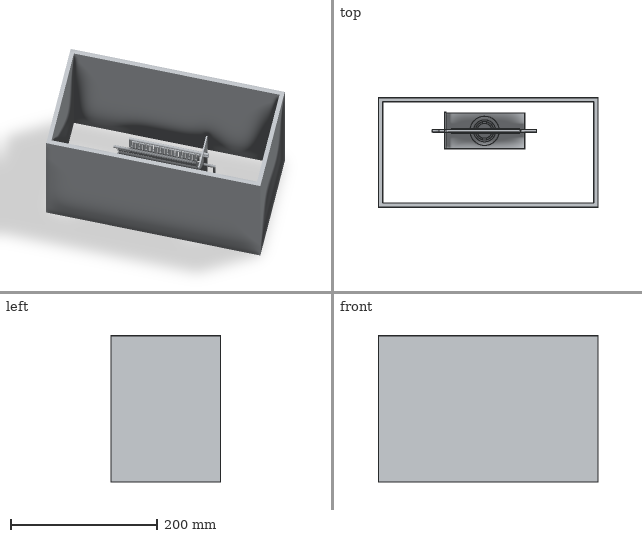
import cadquery as cq

BOX_X, BOX_Y, BOX_Z = 300.0, 150.0, 200.0
BOX_WALL = 6.0

SHEET_Y = 30.0
SHEET_WIDTH = 50.0
SHEET_THICKNESS = 2.0
SHEET_LEFT = -60.0
SHEET_RIGHT = SHEET_LEFT + SHEET_THICKNESS
SHEET_HEIGHT = 180.0
BASE_RIGHT = 50.0
BASE_WIDTH = 49.0
BASE_THICKNESS = 2.0

DRAIN_X = (SHEET_LEFT + BASE_RIGHT) / 2
FLANGE_DIAMETER = 39.93
FLANGE_HEIGHT = 2.0
COLLAR_DIAMETER = 30.07
COLLAR_HEIGHT = 5.0
GROOVE_OUTER_DIAMETER = 25.06
GROOVE_INNER_DIAMETER = 20.4
GROOVE_DEPTH = 3.0
LUG_WIDTH = 5.2
LUG_INNER_REACH = 9.9
LUG_RISE = 1.0

TUBE_Y = 29.5
TUBE_RADIUS = 2.0
RUN_PITCH = 5.5

STUB_LEFT = -67.3
COIL_RIGHT = 42.5
COIL_FEED_Z = 174.0
COIL_TOP_Z = COIL_FEED_Z - RUN_PITCH
COIL_BOTTOM_Z = 154.0
LEG_PITCH = 5.0
LEG_PAIRS = 10

FINNED_Z = 143.2
FINNED_LEFT = -75.0
FINNED_RIGHT = 66.0
FINNED_BOTTOM = 100.0
FIN_RADIUS = 3.5
FIN_THICKNESS = 0.5
FIN_PITCH = 1.0
FIN_START = -50.0
FIN_COUNT = 93

STRAIGHT_Z = FINNED_Z - FIN_RADIUS - TUBE_RADIUS
STRAIGHT_RIGHT = 60.0

LEVEL_TOP_Z = 129.0
LEVEL_RUNS = 4
LEVEL_LEFT = -50.0
LEVEL_RIGHT = 59.0
OUTLET_X = 42.5
OUTLET_BOTTOM = 90.0


def bent_tube(points):
    """Tube along a chain of (x, z) points with mitred corners; the first leg runs along X."""
    path = cq.Workplane("XZ", origin=(0, TUBE_Y, 0)).polyline(points)
    start_x, start_z = points[0]
    profile = cq.Workplane("YZ", origin=(start_x, TUBE_Y, start_z)).circle(TUBE_RADIUS)
    return profile.sweep(path, transition="right")


def make_enclosure():
    outer = cq.Workplane("XY").box(BOX_X, BOX_Y, BOX_Z, centered=(True, True, False))
    opening = cq.Workplane("XY").rect(BOX_X - 2 * BOX_WALL, BOX_Y - 2 * BOX_WALL).extrude(BOX_Z)
    return outer.cut(opening)


def make_sheet():
    return cq.Workplane("XY", origin=(SHEET_LEFT, SHEET_Y, 0)).box(
        SHEET_THICKNESS, SHEET_WIDTH, SHEET_HEIGHT, centered=(False, True, False)
    )


def make_base():
    return cq.Workplane("XY", origin=(SHEET_RIGHT, TUBE_Y, 0)).box(
        BASE_RIGHT - SHEET_RIGHT, BASE_WIDTH, BASE_THICKNESS, centered=(False, True, False)
    )


def make_drain():
    seat = cq.Workplane("XY", origin=(DRAIN_X, TUBE_Y, BASE_THICKNESS))
    body = seat.circle(FLANGE_DIAMETER / 2).extrude(FLANGE_HEIGHT)
    body = body.union(seat.circle(COLLAR_DIAMETER / 2).extrude(COLLAR_HEIGHT))
    groove = (
        seat.workplane(offset=COLLAR_HEIGHT)
        .circle(GROOVE_OUTER_DIAMETER / 2)
        .circle(GROOVE_INNER_DIAMETER / 2)
        .extrude(-GROOVE_DEPTH)
    )
    lug_reach = GROOVE_OUTER_DIAMETER / 2 - LUG_INNER_REACH
    lugs = (
        seat.pushPoints([(0, side * (LUG_INNER_REACH + lug_reach / 2)) for side in (-1, 1)])
        .rect(LUG_WIDTH, lug_reach)
        .extrude(COLLAR_HEIGHT + LUG_RISE)
    )
    return body.cut(groove).union(lugs)


def make_upright_coil():
    points = [(STUB_LEFT, COIL_FEED_Z), (COIL_RIGHT, COIL_FEED_Z), (COIL_RIGHT, COIL_BOTTOM_Z)]
    x = COIL_RIGHT
    for _ in range(LEG_PAIRS - 1):
        x -= LEG_PITCH
        points += [(x, COIL_BOTTOM_Z), (x, COIL_TOP_Z)]
        x -= LEG_PITCH
        points += [(x, COIL_TOP_Z), (x, COIL_BOTTOM_Z)]
    x -= LEG_PITCH
    points += [(x, COIL_BOTTOM_Z), (x, COIL_TOP_Z), (STUB_LEFT, COIL_TOP_Z)]
    return bent_tube(points)


def make_finned_tube():
    tube = bent_tube([(FINNED_RIGHT, FINNED_Z), (FINNED_LEFT, FINNED_Z), (FINNED_LEFT, FINNED_BOTTOM)])
    along = cq.Vector(1, 0, 0)
    fins = [
        cq.Solid.makeCylinder(
            FIN_RADIUS, FIN_THICKNESS, cq.Vector(FIN_START + i * FIN_PITCH, TUBE_Y, FINNED_Z), along
        )
        for i in range(FIN_COUNT)
    ]
    return cq.Workplane(tube.val().fuse(*fins))


def make_straight_tube():
    start = cq.Workplane("YZ", origin=(SHEET_RIGHT, TUBE_Y, STRAIGHT_Z))
    return start.circle(TUBE_RADIUS).extrude(STRAIGHT_RIGHT - SHEET_RIGHT)


def make_level_coil():
    run_z = [LEVEL_TOP_Z - i * RUN_PITCH for i in range(LEVEL_RUNS)]
    return bent_tube([
        (LEVEL_RIGHT, run_z[0]),
        (LEVEL_LEFT, run_z[0]),
        (LEVEL_LEFT, run_z[1]),
        (LEVEL_RIGHT, run_z[1]),
        (LEVEL_RIGHT, run_z[2]),
        (LEVEL_LEFT, run_z[2]),
        (LEVEL_LEFT, run_z[3]),
        (OUTLET_X, run_z[3]),
        (OUTLET_X, OUTLET_BOTTOM),
    ])


enclosure = make_enclosure()
base = make_base()
drain = make_drain()
upright_coil = make_upright_coil()
finned_tube = make_finned_tube()
straight_tube = make_straight_tube()
level_coil = make_level_coil()
sheet = make_sheet().cut(upright_coil).cut(finned_tube)

bodies = [enclosure, sheet, base, drain, upright_coil, finned_tube, straight_tube, level_coil]
result = cq.Compound.makeCompound([body.val() for body in bodies])